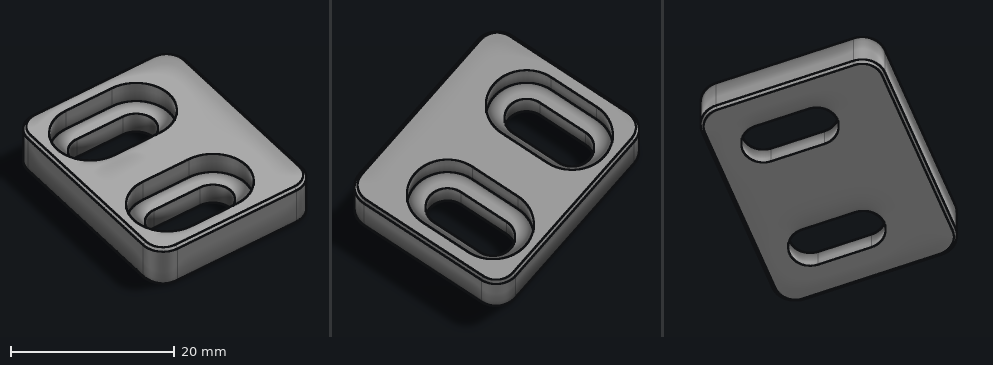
import cadquery as cq

length = 30.0
width = 24.0
thickness = 6.0
corner_radius = 3.0
edge_chamfer = 0.4

slot_spacing = 16.0
slot_offset_y = -2.0
slot_travel = 7.0
slot_width = 5.4
recess_width = 10.0
recess_depth = 3.0


def slot_pair(slot_size, bottom_z, height):
    """Two round-ended prisms, placed symmetrically about the YZ plane."""
    return (
        cq.Workplane("XY", origin=(0, slot_offset_y, bottom_z))
        .pushPoints([(-slot_spacing / 2, 0), (slot_spacing / 2, 0)])
        .slot2D(slot_travel + slot_size, slot_size, angle=90)
        .extrude(height)
    )


plate = (
    cq.Workplane("XY")
    .box(length, width, thickness, centered=(True, True, False))
    .edges("|Z")
    .fillet(corner_radius)
    .faces("<Z or >Z")
    .edges()
    .chamfer(edge_chamfer)
)

through_slots = slot_pair(slot_width, 0, thickness)
recesses = slot_pair(recess_width, thickness - recess_depth, recess_depth)

result = plate.cut(through_slots).cut(recesses)